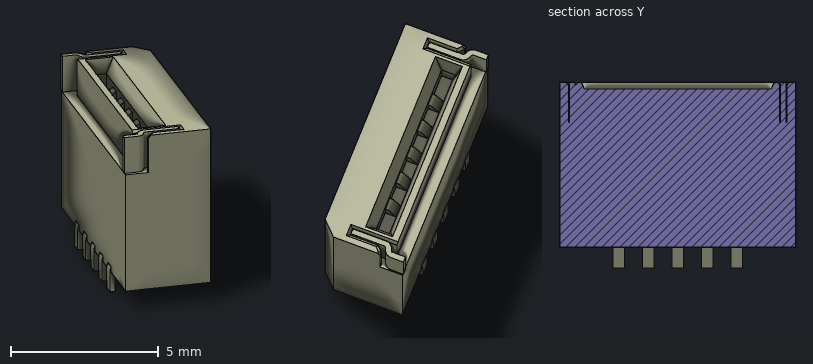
import cadquery as cq
import math


length = 8.0
depth = 3.0
height = 5.6
half_length = length / 2
corner_chamfer = 0.5

step_depth = 1.35
step_width = 0.4
step_z = height - step_depth

slot_outer_in = 0.3
slot_inner_in = 0.54
slot_back_y = 2.02
slot_chamfer = 0.1
wall_end_y = 0.8
wall_corner_chamfer = 0.2
overcut = 0.4

clip_thickness = 0.2
clip_height = 1.3
clip_leg_in = 0.42
clip_tab_in = 0.12
clip_back_y = 1.99
clip_front_y = -0.03
clip_bend_length = 0.38
clip_anchor = 0.24

mouth_length = 6.53
mouth_back_y = 1.62
mouth_front_y = 0.64
flare_side = 0.22
flare_depth = 0.5
pocket_back_y = 1.31
pocket_front_y = 0.91
pocket_depth = 1.12
pocket_floor_z = height - pocket_depth

contact_count = 5
pitch = 1.0
contact_width = 0.42
contact_top_run = 0.13
contact_top_slope = math.radians(30)
contact_face_slope = math.radians(54)
contact_round = 0.2
pin_width = 0.4
pin_thickness = 0.2
pin_drop = 0.7
pin_overhang = 0.05
pin_bend_radius = 0.5


def make_housing():
    """Block with one bevelled rear corner and a step along its top front edge."""
    block = (
        cq.Workplane("XY")
        .box(length, depth, height, centered=(True, False, False))
        .edges("|Z and <X and >Y")
        .chamfer(corner_chamfer)
    )
    step = (
        cq.Workplane("XY", origin=(0, 0, step_z))
        .box(length, step_width, step_depth, centered=(True, False, False))
    )
    return block.cut(step)


def make_slot():
    """Cutter for the slot at the -X end, open to the end and the front of the housing."""
    outer_x = -half_length + slot_outer_in
    inner_x = -half_length + slot_inner_in
    outline = [
        (-half_length - overcut, -overcut),
        (-half_length - overcut, wall_end_y),
        (outer_x - wall_corner_chamfer, wall_end_y),
        (outer_x, wall_end_y + wall_corner_chamfer),
        (outer_x, slot_back_y),
        (inner_x, slot_back_y),
        (inner_x, -overcut),
    ]
    return cq.Workplane("XY", origin=(0, 0, step_z)).polyline(outline).close().extrude(step_depth)


def bevel_slot_rims(housing):
    """Chamfer the top edges of both slots, leaving the outer edges of the housing sharp."""
    margin = 0.01
    rim_edges = cq.selectors.BoxSelector(
        (-half_length + margin, step_width + margin, height - margin),
        (-half_length + slot_inner_in + margin, slot_back_y + margin, height + margin),
    ) + cq.selectors.BoxSelector(
        (half_length - slot_inner_in - margin, step_width + margin, height - margin),
        (half_length - margin, slot_back_y + margin, height + margin),
    )
    return housing.edges(rim_edges).chamfer(slot_chamfer)


def clip_edge(side):
    """Points along one face of the -X clip, from back to front.

    The clip's centre line jogs towards -X through two equal and opposite arcs that meet
    halfway. Side is +1 for the face towards +X and -1 for the other.
    """
    offset = side * clip_thickness / 2
    leg_x = -half_length + clip_leg_in
    tab_x = -half_length + clip_tab_in
    bend_start_y = wall_end_y
    bend_end_y = bend_start_y - clip_bend_length
    bend_angle = 2 * math.atan((leg_x - tab_x) / clip_bend_length)
    bend_radius = clip_bend_length / (2 * math.sin(bend_angle))

    def first_arc(angle):
        radius = bend_radius + offset
        centre_x = leg_x - bend_radius
        return (centre_x + radius * math.cos(angle), bend_start_y - radius * math.sin(angle))

    def second_arc(angle):
        radius = bend_radius - offset
        centre_x = tab_x + bend_radius
        return (centre_x - radius * math.cos(angle), bend_end_y + radius * math.sin(angle))

    return [
        (leg_x + offset, clip_back_y),
        first_arc(0),
        first_arc(bend_angle / 2),
        first_arc(bend_angle),
        second_arc(bend_angle / 2),
        second_arc(0),
        (tab_x + offset, clip_front_y),
    ]


def make_clip():
    """Bent strip at the -X end, standing on a straight leg anchored in the slot floor."""
    outer = clip_edge(-1)
    inner = clip_edge(1)[::-1]
    strip = (
        cq.Workplane("XY", origin=(0, 0, height - clip_height))
        .moveTo(*outer[0])
        .lineTo(*outer[1])
        .threePointArc(outer[2], outer[3])
        .threePointArc(outer[4], outer[5])
        .lineTo(*outer[6])
        .lineTo(*inner[0])
        .lineTo(*inner[1])
        .threePointArc(inner[2], inner[3])
        .threePointArc(inner[4], inner[5])
        .lineTo(*inner[6])
        .close()
        .extrude(clip_height)
    )
    leg_front_y = wall_end_y + wall_corner_chamfer
    leg_bottom_z = step_z - clip_anchor
    leg = (
        cq.Workplane("XY", origin=(-half_length + clip_leg_in, leg_front_y, leg_bottom_z))
        .box(clip_thickness, clip_back_y - leg_front_y, height - leg_bottom_z, centered=(True, False, False))
    )
    return strip.union(leg)


def make_pocket():
    """Cutter for the mating pocket: a sloped front wall and a mouth flared on all sides."""
    front_slope = (pocket_front_y - mouth_front_y) / pocket_depth
    flare_front_y = mouth_front_y + front_slope * flare_depth
    pocket_length = mouth_length - 2 * flare_side
    body = (
        cq.Workplane("YZ", origin=(-pocket_length / 2, 0, 0))
        .polyline(
            [
                (mouth_front_y, height),
                (pocket_front_y, pocket_floor_z),
                (pocket_back_y, pocket_floor_z),
                (pocket_back_y, height),
            ]
        )
        .close()
        .extrude(pocket_length)
    )
    flare = (
        cq.Workplane("XY", origin=(0, 0, height))
        .center(0, (mouth_front_y + mouth_back_y) / 2)
        .rect(mouth_length, mouth_back_y - mouth_front_y)
        .workplane(offset=-flare_depth)
        .center(0, (flare_front_y + pocket_back_y - mouth_front_y - mouth_back_y) / 2)
        .rect(pocket_length, pocket_back_y - flare_front_y)
        .loft(ruled=True)
    )
    return body.union(flare)


def make_contact(x):
    """Contact on the pocket floor with a gently sloped top rounding into a steep front face."""
    ridge_y = pocket_back_y - contact_top_run
    ridge_z = pocket_floor_z + (ridge_y - pocket_front_y) * math.tan(contact_face_slope)
    back_z = ridge_z + contact_top_run * math.tan(contact_top_slope)
    bar = (
        cq.Workplane("YZ", origin=(x - contact_width / 2, 0, 0))
        .polyline(
            [
                (pocket_front_y, pocket_floor_z),
                (ridge_y, ridge_z),
                (pocket_back_y, back_z),
                (pocket_back_y, pocket_floor_z),
            ]
        )
        .close()
        .extrude(contact_width)
    )
    ridge = cq.selectors.NearestToPointSelector((x, ridge_y, ridge_z))
    return bar.edges(ridge).fillet(contact_round)


def make_pin(x):
    """Solder pin dropping below the base, bent back into the housing by a quarter turn."""
    front_y = -pin_overhang
    back_y = front_y + pin_thickness
    centre_y = front_y + pin_bend_radius
    inner_radius = pin_bend_radius - pin_thickness
    diagonal = math.sqrt(0.5)
    return (
        cq.Workplane("YZ", origin=(x - pin_width / 2, 0, 0))
        .moveTo(front_y, -pin_drop)
        .lineTo(front_y, 0)
        .threePointArc(
            (centre_y - pin_bend_radius * diagonal, pin_bend_radius * diagonal),
            (centre_y, pin_bend_radius),
        )
        .lineTo(centre_y, inner_radius)
        .threePointArc(
            (centre_y - inner_radius * diagonal, inner_radius * diagonal),
            (back_y, 0),
        )
        .lineTo(back_y, -pin_drop)
        .close()
        .extrude(pin_width)
    )


def both_ends(shape):
    """The shape together with its mirror image at the +X end."""
    return shape.union(shape.mirror("YZ"))


result = bevel_slot_rims(make_housing().cut(both_ends(make_slot())))
result = result.cut(make_pocket()).union(both_ends(make_clip()))
for index in range(contact_count):
    contact_x = (index - (contact_count - 1) / 2) * pitch
    result = result.union(make_contact(contact_x)).union(make_pin(contact_x))